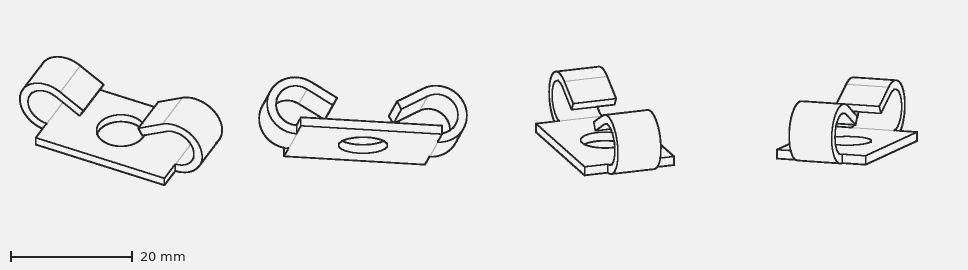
import cadquery as cq
import math


overall_length = 33.3
plate_width = 15.6
thickness = 1.5
hole_diameter = 8.0
strip_width = 7.5
curl_outer_radius = 4.9
tail_length = 5.0
tail_slope_deg = 30.0

curl_inner_radius = curl_outer_radius - thickness
curl_center_x = overall_length / 2 - curl_outer_radius
plate_length = 2 * curl_center_x
curl_end_deg = 90.0 + tail_slope_deg


def curl_point(radius, angle_deg):
    """Point on the right-hand curl, angle measured from +X towards +Z."""
    angle = math.radians(angle_deg)
    x = curl_center_x + radius * math.cos(angle)
    z = curl_outer_radius + radius * math.sin(angle)
    return x, z


def tail_tip(radius):
    """End of the tail edge that leaves the curl tangentially at this radius."""
    slope = math.radians(tail_slope_deg)
    x, z = curl_point(radius, curl_end_deg)
    return x - tail_length * math.cos(slope), z - tail_length * math.sin(slope)


def make_plate():
    """Flat plate on Z = 0 with its through hole."""
    plate = cq.Workplane("XY").box(plate_length, plate_width, thickness, centered=(True, True, False))
    return plate.faces(">Z").workplane().hole(hole_diameter)


def make_right_curl():
    """Strip that rolls up from the +X plate edge and ends in a straight tail."""
    return (
        cq.Workplane("XZ")
        .moveTo(*curl_point(curl_outer_radius, -90))
        .threePointArc(curl_point(curl_outer_radius, 0), curl_point(curl_outer_radius, curl_end_deg))
        .lineTo(*tail_tip(curl_outer_radius))
        .lineTo(*tail_tip(curl_inner_radius))
        .lineTo(*curl_point(curl_inner_radius, curl_end_deg))
        .threePointArc(curl_point(curl_inner_radius, 0), curl_point(curl_inner_radius, -90))
        .close()
        .extrude(strip_width / 2, both=True)
    )


right_curl = make_right_curl()
left_curl = right_curl.mirror("YZ")

result = make_plate().union(right_curl).union(left_curl)